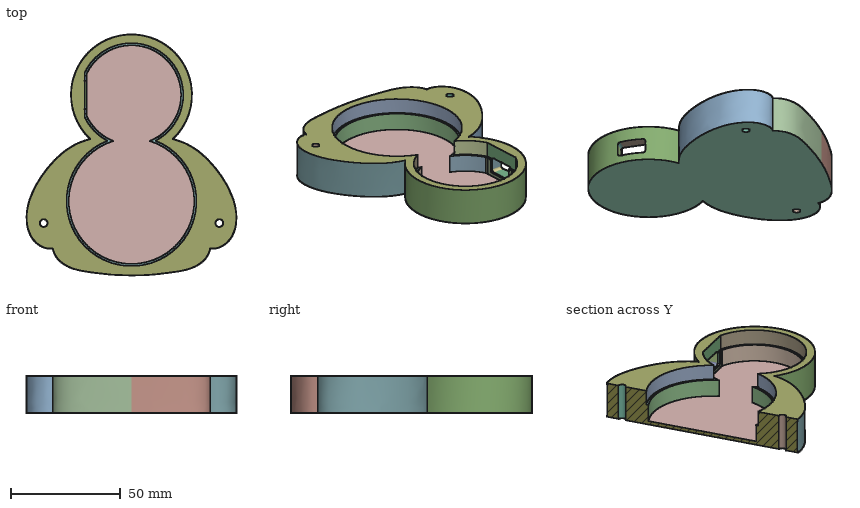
import cadquery as cq
import math

HEIGHT = 17.0
FLOOR_HEIGHT = 2.0
LEDGE_HEIGHT = 10.0

HEAD_CENTER_Y = 48.4
HEAD_RADIUS = 27.6
HEAD_WALL = 4.0
HEAD_POCKET_RADIUS = HEAD_RADIUS - HEAD_WALL
BODY_POCKET_RADIUS = 29.6
LEDGE_WIDTH = 1.0

FLAT_X = -21.4

NECK_X = 18.9
NECK_Y = HEAD_CENTER_Y - math.sqrt(HEAD_RADIUS**2 - NECK_X**2)
NOTCH = (35.9, -21.6)
BOTTOM_Y = -33.93
WING_POINTS = [(30.0, 23.1), (38.1, 15.2), (43.55, 7.2), (47.84, -7.0), (45.5, -16.6), (40.2, -21.1)]
BELLY_POINTS = [(33.5, -26.5), (27.5, -30.5), (18.5, -32.5), (9.0, -33.6)]

SCREW_HOLE_DIAMETER = 3.4
SCREW_HOLE_X = 40.0
SCREW_HOLE_Y = -10.0

WINDOW_WIDTH = 13.0
WINDOW_HEIGHT = 7.0
WINDOW_BOTTOM = 3.65
WINDOW_CORNER_RADIUS = 1.1

PLATE_WIDTH = 17.2


def mirror_x(points):
    return [(-x, y) for x, y in points]


def lower_outline():
    """Wings and belly: one half drawn up to the neck, then the mirrored half back down."""
    neck = (NECK_X, NECK_Y)
    belly = BELLY_POINTS + [(0, BOTTOM_Y)]
    left_belly = mirror_x(BELLY_POINTS[::-1] + [NOTCH])
    left_wing = mirror_x(WING_POINTS[::-1] + [neck])
    return (
        cq.Workplane("XY")
        .moveTo(*neck)
        .spline(WING_POINTS + [NOTCH], includeCurrent=True)
        .spline(belly, includeCurrent=True)
        .spline(left_belly, includeCurrent=True)
        .spline(left_wing, includeCurrent=True)
        .close()
        .extrude(HEIGHT)
    )


def disc(center_y, radius, bottom):
    """Cylinder on X = 0 from the given level up to the top face."""
    return cq.Workplane("XY", origin=(0, center_y, bottom)).circle(radius).extrude(HEIGHT - bottom)


def pocket(inset, bottom):
    """Figure-eight pocket with a flat on the head, shrunk inwards by the inset."""
    head_radius = HEAD_POCKET_RADIUS - inset
    flat_x = FLAT_X + inset
    head_keep = cq.Workplane("XY", origin=(flat_x, HEAD_CENTER_Y, bottom)).box(
        2 * HEAD_RADIUS, 2 * HEAD_RADIUS, HEIGHT, centered=(False, True, False)
    )
    head = disc(HEAD_CENTER_Y, head_radius, bottom).intersect(head_keep)
    return head.union(disc(0, BODY_POCKET_RADIUS - inset, bottom))


def screw_holes():
    return (
        cq.Workplane("XY")
        .pushPoints([(-SCREW_HOLE_X, SCREW_HOLE_Y), (SCREW_HOLE_X, SCREW_HOLE_Y)])
        .circle(SCREW_HOLE_DIAMETER / 2)
        .extrude(HEIGHT)
    )


def window():
    """Rounded opening along X, from outside the head to the inner face of the plate."""
    length = HEAD_RADIUS + FLAT_X + LEDGE_WIDTH
    return (
        cq.Workplane("XY", origin=(-HEAD_RADIUS, HEAD_CENTER_Y, WINDOW_BOTTOM))
        .box(length, WINDOW_WIDTH, WINDOW_HEIGHT, centered=(False, True, False))
        .edges("|X")
        .fillet(WINDOW_CORNER_RADIUS)
    )


def plate_blank():
    """Plate before its opening is cut; it fills the ledge from the floor to the ledge level."""
    return cq.Workplane("XY", origin=(FLAT_X, HEAD_CENTER_Y, FLOOR_HEIGHT)).box(
        LEDGE_WIDTH, PLATE_WIDTH, LEDGE_HEIGHT - FLOOR_HEIGHT, centered=(False, True, False)
    )


def make_housing():
    shell = lower_outline().union(disc(HEAD_CENTER_Y, HEAD_RADIUS, 0))
    shell = shell.cut(pocket(0, LEDGE_HEIGHT))
    shell = shell.cut(pocket(LEDGE_WIDTH, FLOOR_HEIGHT))
    return shell.cut(screw_holes()).cut(window()).cut(plate_blank())


def make_connector_plate():
    return plate_blank().cut(window())


housing = make_housing()
connector_plate = make_connector_plate()

result = cq.Compound.makeCompound([housing.solids().val(), connector_plate.solids().val()])